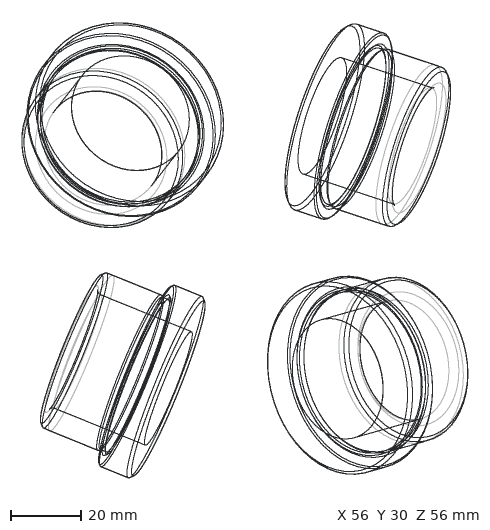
import cadquery as cq
import math

flange_diameter = 56.0
length = 30.0
flange_thickness = 10.0
body_diameter = 48.0
bore_diameter = 35.0

back_chamfer = 1.0
flange_front_chamfer = 0.5
body_end_chamfer = 1.0
bore_mouth_radius = 2.0

shoulder_cone_length = 0.55

lead_in_length = 3.0
lead_in_drop = 0.05

groove_depth = 0.5
groove_width = 1.5
undercut_diameter = 49.6
undercut_fillet = 2.25
undercut_angle = math.radians(45)

flange_radius = flange_diameter / 2
body_radius = body_diameter / 2
bore_radius = bore_diameter / 2
groove_radius = body_radius - groove_depth
undercut_radius = undercut_diameter / 2
lead_in_radius = body_radius - lead_in_drop

front = -length / 2
back = length / 2
flange_face = back - flange_thickness
body_shoulder = flange_face - groove_width

undercut_depth = undercut_radius - groove_radius
undercut_bottom = flange_face + undercut_depth

fillet_setback = undercut_fillet * math.tan(undercut_angle / 2)
fillet_cone_setback = fillet_setback * math.cos(undercut_angle)


def make_bushing():
    """Revolve the half section (radius, axial position) around the Y axis."""
    section = (
        cq.Workplane("XY")
        .moveTo(bore_radius, back)
        .lineTo(flange_radius - back_chamfer, back)
        .lineTo(flange_radius, back - back_chamfer)
        .lineTo(flange_radius, flange_face + flange_front_chamfer)
        .lineTo(flange_radius - flange_front_chamfer, flange_face)
        .lineTo(undercut_radius, flange_face)
        .lineTo(groove_radius + fillet_cone_setback, undercut_bottom - fillet_cone_setback)
        .radiusArc((groove_radius, undercut_bottom - fillet_setback), -undercut_fillet)
        .lineTo(groove_radius, body_shoulder)
        .lineTo(body_radius, body_shoulder - shoulder_cone_length)
        .lineTo(body_radius, front + lead_in_length)
        .lineTo(lead_in_radius, front + body_end_chamfer)
        .lineTo(lead_in_radius - body_end_chamfer, front)
        .lineTo(bore_radius + bore_mouth_radius, front)
        .radiusArc((bore_radius, front + bore_mouth_radius), bore_mouth_radius)
        .close()
    )
    return section.revolve(360, (0, 0, 0), (0, 1, 0))


result = make_bushing()